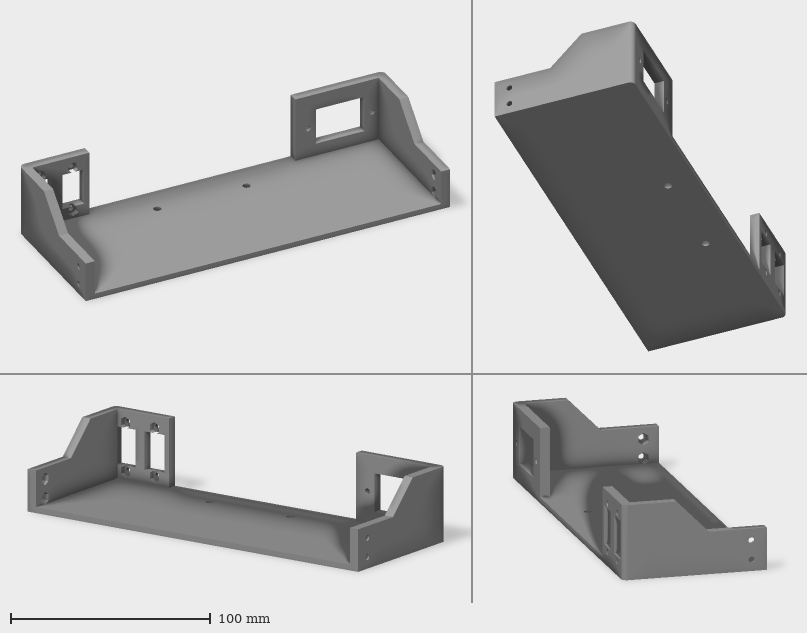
import cadquery as cq
import math

depth = 75.0
length = 204.0
height = 39.0

floor_thickness = 3.0
side_wall = 5.0
front_wall = 5.0
corner_radius = 2.9

high_top_end = 28.2
low_height = 22.0
slope_run = height - low_height

socket_panel_width = 51.8
switch_panel_width = 37.0

screw_diameter = 3.0
nut_across_flats = 5.5
nut_corner_diameter = nut_across_flats / math.cos(math.pi / 6)
panel_nut_depth = 2.9
side_nut_depth = 4.0

opening_height = 20.0
opening_center_z = 20.0
socket_width = 27.1
socket_center_y = length / 2 - 26.7
socket_screw_spacing = 36.0
switch_width = 12.2
switch_spacing = 18.0
outer_switch_y = -length / 2 + 10.0
switch_screw_spacing = 25.0

side_screw_x = depth - 8.0
side_screw_heights = (6.0, 16.0)

floor_hole_diameter = 4.0
floor_hole_x = 15.7
floor_hole_spacing = 50.0
floor_hole_center_y = -7.3


def tray_body():
    """Floor with two stepped side walls and a front wall, open at +X and the top."""
    profile = (
        cq.Workplane("XZ", origin=(0, length / 2, 0))
        .moveTo(0, 0)
        .lineTo(depth, 0)
        .lineTo(depth, low_height)
        .lineTo(high_top_end + slope_run, low_height)
        .lineTo(high_top_end, height)
        .lineTo(0, height)
        .close()
        .extrude(length)
    )
    body = profile.edges("|Z and <X").fillet(corner_radius)
    interior = cq.Workplane("XY").box(
        depth, length - 2 * side_wall, height, centered=(False, True, False)
    )
    return body.cut(interior.translate((front_wall, 0, floor_thickness)))


def front_gap():
    """Clearance that splits the front wall into the socket panel and the switch panel."""
    gap_length = length - socket_panel_width - switch_panel_width
    gap = cq.Workplane("XY").box(front_wall, gap_length, height, centered=(False, False, False))
    return gap.translate((0, -length / 2 + switch_panel_width, floor_thickness))


def panel_opening(width, center_y):
    """Rectangular opening through the front wall."""
    opening = cq.Workplane("XY").box(front_wall, width, opening_height, centered=(False, True, True))
    return opening.translate((0, center_y, opening_center_z))


def panel_screw(y, z):
    """Screw hole through the front wall."""
    return cq.Workplane("YZ", origin=(0, y, z)).circle(screw_diameter / 2).extrude(front_wall)


def panel_nut(y, z):
    """Hexagonal nut pocket in the inner face of the front wall, with a corner pointing up."""
    plane = cq.Workplane("YZ", origin=(front_wall - panel_nut_depth, y, z))
    return plane.transformed(rotate=(0, 0, 90)).polygon(6, nut_corner_diameter).extrude(panel_nut_depth)


def side_nut(side, z):
    """Hexagonal nut pocket in the inner face of one side wall, with a corner pointing up."""
    inner_face_y = side * (length / 2 - side_wall)
    start_y = inner_face_y + side_nut_depth if side > 0 else inner_face_y
    plane = cq.Workplane("XZ", origin=(side_screw_x, start_y, z))
    return plane.transformed(rotate=(0, 0, 90)).polygon(6, nut_corner_diameter).extrude(side_nut_depth)


result = tray_body().cut(front_gap())

result = result.cut(panel_opening(socket_width, socket_center_y))
for side in (-1, 1):
    screw_y = socket_center_y + side * socket_screw_spacing / 2
    result = result.cut(panel_screw(screw_y, opening_center_z))

for switch_y in (outer_switch_y, outer_switch_y + switch_spacing):
    result = result.cut(panel_opening(switch_width, switch_y))
    for side in (-1, 1):
        screw_z = opening_center_z + side * switch_screw_spacing / 2
        result = result.cut(panel_screw(switch_y, screw_z))
        result = result.cut(panel_nut(switch_y, screw_z))

for screw_z in side_screw_heights:
    side_screw = cq.Workplane("XZ", origin=(side_screw_x, length / 2, screw_z))
    result = result.cut(side_screw.circle(screw_diameter / 2).extrude(length))
    for side in (-1, 1):
        result = result.cut(side_nut(side, screw_z))

for side in (-1, 1):
    hole_y = floor_hole_center_y + side * floor_hole_spacing / 2
    floor_hole = cq.Workplane("XY", origin=(floor_hole_x, hole_y, 0))
    result = result.cut(floor_hole.circle(floor_hole_diameter / 2).extrude(floor_thickness))